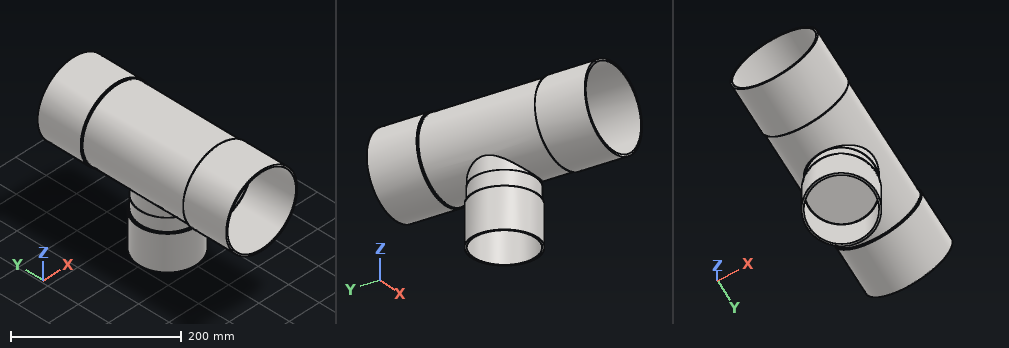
import cadquery as cq

run_length = 310.0
run_diameter = 117.0
run_collar_diameter = 120.0
run_collar_length = 72.0
run_bore_diameter = 114.5
run_socket_depth = run_collar_length

overall_height = 200.0
neck_diameter = 89.0
ring_diameter = 90.0
ring_top_drop = 60.0
branch_collar_diameter = 94.0
branch_collar_length = 58.5

collar_wall = (run_collar_diameter - run_bore_diameter) / 2
branch_bore_diameter = branch_collar_diameter - 2 * collar_wall
branch_socket_depth = branch_collar_length

collar_chamfer = 1.2
branch_drop = overall_height - run_collar_diameter / 2


def collar(end_plane, diameter, length):
    """Collar from a pipe end inward, with its inner shoulder chamfered."""
    body = cq.Workplane(end_plane).circle(diameter / 2).extrude(length)
    shoulder = body.faces(cq.selectors.DirectionMinMaxSelector(end_plane.zDir, True))
    return shoulder.edges().chamfer(collar_chamfer)


def cylinder(end_plane, diameter, length):
    """Plain cylinder from a pipe end inward."""
    return cq.Workplane(end_plane).circle(diameter / 2).extrude(length)


run_ends = [
    cq.Plane(origin=(0, -side * run_length / 2, 0), xDir=(1, 0, 0), normal=(0, side, 0))
    for side in (1, -1)
]
branch_end = cq.Plane(origin=(0, 0, -branch_drop), xDir=(1, 0, 0), normal=(0, 0, 1))

result = cylinder(run_ends[0], run_diameter, run_length)
result = result.union(cylinder(branch_end, neck_diameter, branch_drop))
result = result.union(cylinder(branch_end, ring_diameter, branch_drop - ring_top_drop))
result = result.union(collar(branch_end, branch_collar_diameter, branch_collar_length))
for end in run_ends:
    result = result.union(collar(end, run_collar_diameter, run_collar_length))

for end in run_ends:
    result = result.cut(cylinder(end, run_bore_diameter, run_socket_depth))
result = result.cut(cylinder(branch_end, branch_bore_diameter, branch_socket_depth))